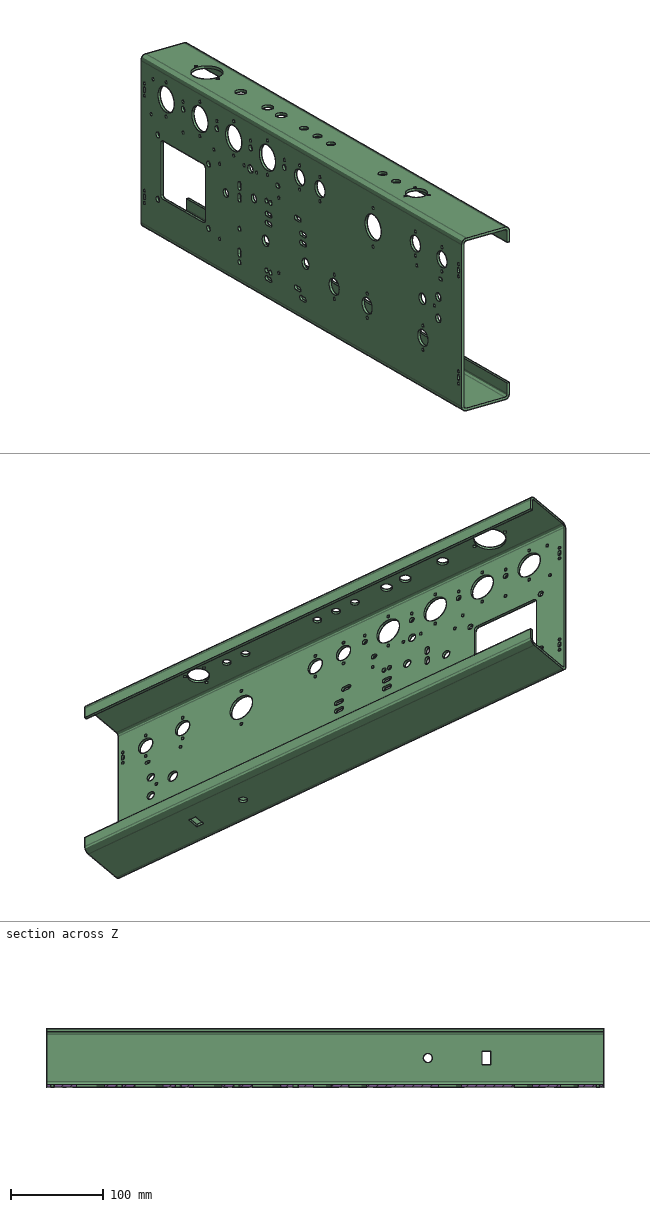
import cadquery as cq
import math


length = 603.25
depth = 63.5
height = 204.47
sheet = 3.175
bend_radius = 2 * sheet
lip_height = 19.05

tube_socket_dia = 30.2
jack_dia = 19.05
shaft_dia = 12.7
control_dia = 9.53
corner_bolt_dia = 6.48
grommet_dia = 6.35
tab_dia = 5.33
screw_dia = 3.45
end_screw_dia = 3.17

tube_pitch = 63.5
tube_count = 4
first_tube_x = -254.25
tube_row_z = 66.675
tube_row = [(first_tube_x + i * tube_pitch, tube_row_z) for i in range(tube_count)]
tube_screw_offset = 20.3

grommet_row = [(x + tube_pitch / 2, z) for x, z in tube_row]
grommet_screw_rise = 8.9

output_tube = (135.0, 56.2)
output_tube_screw_offset = 22.9

upper_jack_z = 65.2
lower_jack_z = -40.6
jacks = [(x, upper_jack_z) for x in (-3.2, 35.0, 264.4)]
jacks += [(214.4, 65.7)]
jacks += [(x, lower_jack_z) for x in (61.9, 123.8, 228.6)]
jack_screw_offset = 14.29

transformer_center = (-222.25, -19.05)
transformer_window = (83.6, 69.0)
transformer_corner_radius = 4.0
transformer_bolt_spacing = (95.25, 76.2)

board_center = (-98.1, -17.5)
board_screw_spacing = (111.1, 88.9)

end_mount_x = 295.3
end_mount_z = 63.5
end_screw_offset = 7.25
end_slot_length = 6.35
end_slot_width = 3.56

shaft_holes = [(-67.1, -32.9), (7.9, -32.9), (227.7, 5.2)]
toggle_hole = (-95.9, 41.8)
control_holes = [toggle_hole, (-89.3, 9.2), (-142.0, -3.4), (257.5, 18.1), (257.5, -7.3)]
toggle_screw_offset = 11.8
loose_screws = [(-278.7, 81.8), (-282.4, 39.1), (-222.25, 39.1), (-164.4, 40.0), (217.2, 40.9), (250.0, 5.3)]

tab_column_x = -116.4
tab_column_slot_z = (14.2, 0.3, -64.7)
tab_column_hole_z = (-36.5, -76.0)
tab_column_slot_length = 10.0

twin_tab_x = -61.8
twin_tab_spacing = 7.4
single_tab_x = -6.8
outer_tab_x = 3.0
tab_slot_length = 12.0
split_row_z = (15.1, -67.4)
plain_row_z = (0.0, -10.8, -76.2)

short_slot = (-44.4, 40.6)
short_slot_length = 7.1
screw_slot = (261.8, 40.9)

can_center_x = -222.6
can_dia = 34.925
can_screw_offset = 20.6
can_screw_dia = 3.56

large_flange_holes = [(x, 0) for x in (-158.75, -108.3, -82.9)]
small_flange_holes = [(x, 0) for x in (-40.1, -14.7, 10.7, 107.9, 133.3)]

connector_center_x = 171.45
connector_dia = 24.0
connector_screw_circle_radius = 14.7
connector_screw_dia = 3.3
connector_screw_angles = (30, 150, 270)

bottom_window_center = (174.5, 0)
bottom_window = (9.1, 14.5)
bottom_hole = (111.1, 0)


def channel():
    """C-section with rounded bends, open toward +Y between the two lips."""
    outer = cq.Workplane("XY").box(length, depth, height).edges("|X").fillet(bend_radius)
    inner = cq.Workplane("XY").box(length, depth - 2 * sheet, height - 2 * sheet)
    inner = inner.edges("|X").fillet(bend_radius - sheet)
    mouth = cq.Workplane("XY").box(length, depth, height - 2 * lip_height).translate((0, depth / 2, 0))
    return outer.cut(inner).cut(mouth)


def web():
    """Outer face of the web; extruding by -sheet passes through it."""
    return cq.Workplane("XZ", origin=(0, -depth / 2, 0))


def top_flange():
    """Outer face of the top flange; extruding by -sheet passes through it."""
    return cq.Workplane("XY", origin=(0, 0, height / 2))


def bottom_flange():
    """Inner face of the bottom flange; extruding by -sheet passes through it."""
    return cq.Workplane("XY", origin=(0, 0, sheet - height / 2))


def round_holes(face, points, diameter):
    return face.pushPoints(points).circle(diameter / 2).extrude(-sheet)


def slots(points, slot_length, width, angle=0):
    return web().pushPoints(points).slot2D(slot_length, width, angle).extrude(-sheet)


def above_and_below(centers, offset):
    return [(x, z + side * offset) for x, z in centers for side in (1, -1)]


def left_and_right(centers, offset):
    return [(x + side * offset, z) for x, z in centers for side in (1, -1)]


def rectangle_corners(center, spacing):
    x, z = center
    row = left_and_right([(x, z)], spacing[0] / 2)
    return above_and_below(row, spacing[1] / 2)


def socket_cutters():
    """Tube sockets, jacks and grommets with their fixing screws."""
    tubes = tube_row + [output_tube]
    screws = above_and_below(tube_row, tube_screw_offset)
    screws += above_and_below([output_tube], output_tube_screw_offset)
    screws += above_and_below(jacks, jack_screw_offset)
    screws += [(x, z + grommet_screw_rise) for x, z in grommet_row]
    return [
        round_holes(web(), tubes, tube_socket_dia),
        round_holes(web(), jacks, jack_dia),
        round_holes(web(), grommet_row, grommet_dia),
        round_holes(web(), screws, screw_dia),
    ]


def transformer_cutters():
    """Rounded rectangular window with four corner bolts."""
    window = web().center(*transformer_center).rect(*transformer_window).extrude(-sheet)
    window = window.edges("|Y").fillet(transformer_corner_radius)
    bolts = rectangle_corners(transformer_center, transformer_bolt_spacing)
    return [window, round_holes(web(), bolts, corner_bolt_dia)]


def end_mount_cutters():
    """At each web corner, an upright slot between two screw holes."""
    mounts = rectangle_corners((0, 0), (2 * end_mount_x, 2 * end_mount_z))
    screws = above_and_below(mounts, end_screw_offset)
    return [
        slots(mounts, end_slot_length, end_slot_width, 90),
        round_holes(web(), screws, end_screw_dia),
    ]


def control_cutters():
    """Shaft and control holes, board screws and other single screws."""
    screws = rectangle_corners(board_center, board_screw_spacing)
    screws += left_and_right([toggle_hole], toggle_screw_offset)
    screws += loose_screws
    return [
        round_holes(web(), shaft_holes, shaft_dia),
        round_holes(web(), control_holes, control_dia),
        round_holes(web(), screws, screw_dia),
        slots([short_slot], short_slot_length, tab_dia),
        slots([screw_slot], end_slot_length, end_slot_width),
    ]


def tab_cutters():
    """Terminal tabs: a column of upright slots and holes, and rows of level slots and twin holes."""
    upright = [(tab_column_x, z) for z in tab_column_slot_z]
    holes = [(tab_column_x, z) for z in tab_column_hole_z]
    level = [(single_tab_x, z) for z in split_row_z]
    level += [(x, z) for x in (twin_tab_x, outer_tab_x) for z in plain_row_z]
    holes += left_and_right([(twin_tab_x, z) for z in split_row_z], twin_tab_spacing / 2)
    return [
        slots(upright, tab_column_slot_length, tab_dia, 90),
        slots(level, tab_slot_length, tab_dia),
        round_holes(web(), holes, tab_dia),
    ]


def top_flange_cutters():
    """Can opening, two sizes of round holes, and a connector on three screws."""
    can = [(can_center_x, 0)]
    connector_screws = [
        (
            connector_center_x + connector_screw_circle_radius * math.cos(math.radians(angle)),
            connector_screw_circle_radius * math.sin(math.radians(angle)),
        )
        for angle in connector_screw_angles
    ]
    return [
        round_holes(top_flange(), can, can_dia),
        round_holes(top_flange(), left_and_right(can, can_screw_offset), can_screw_dia),
        round_holes(top_flange(), large_flange_holes, shaft_dia),
        round_holes(top_flange(), small_flange_holes, control_dia),
        round_holes(top_flange(), [(connector_center_x, 0)], connector_dia),
        round_holes(top_flange(), connector_screws, connector_screw_dia),
    ]


def bottom_flange_cutters():
    """A rectangular window and one round hole."""
    window = bottom_flange().center(*bottom_window_center).rect(*bottom_window).extrude(-sheet)
    return [window, round_holes(bottom_flange(), [bottom_hole], control_dia)]


result = channel()
cutters = socket_cutters() + transformer_cutters() + end_mount_cutters() + control_cutters()
cutters += tab_cutters() + top_flange_cutters() + bottom_flange_cutters()
for cutter in cutters:
    result = result.cut(cutter)